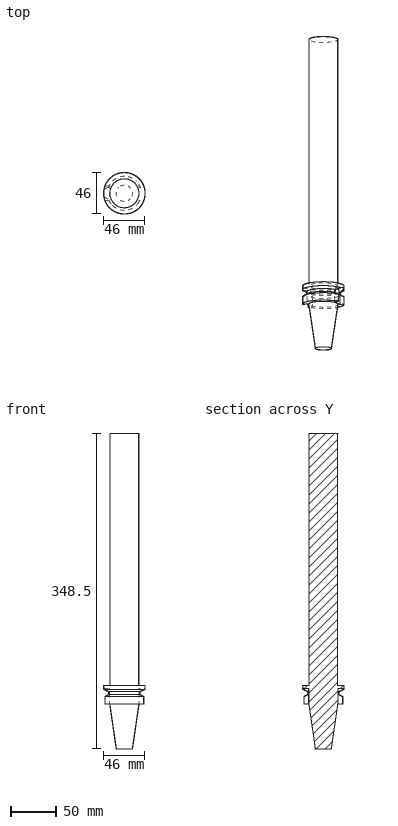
import cadquery as cq
import math

total_length = 348.5
bar_radius = 16.0
flange_radius = 23.0

taper_length = 48.5
gauge_radius = 16.0
taper_ratio = 7 / 24
tip_radius = gauge_radius - taper_length * taper_ratio / 2

flange_bottom = taper_length + 1.5
flange_top = 70.5
groove_centre = 62.0
groove_floor_width = 3.0
groove_radius = 18.8
groove_flank_angle = 30
groove_flank_height = (flange_radius - groove_radius) * math.tan(math.radians(groove_flank_angle))
groove_floor_bottom = groove_centre - groove_floor_width / 2
groove_floor_top = groove_centre + groove_floor_width / 2

slot_width = 16.0
slot_top = 67.0
slot_floor = 16.5
slot_radius = slot_width / 2
slot_arc_centre = slot_top - slot_radius


def make_body():
    """Revolve the half profile, given as (radius, height) points."""
    profile = [
        (0, 0),
        (tip_radius, 0),
        (gauge_radius, taper_length),
        (gauge_radius, flange_bottom),
        (flange_radius, flange_bottom),
        (flange_radius, groove_floor_bottom - groove_flank_height),
        (groove_radius, groove_floor_bottom),
        (groove_radius, groove_floor_top),
        (flange_radius, groove_floor_top + groove_flank_height),
        (flange_radius, flange_top),
        (bar_radius, flange_top),
        (bar_radius, total_length),
        (0, total_length),
    ]
    return cq.Workplane("XZ").polyline(profile).close().revolve(360, (0, 0), (0, 1))


def make_slot_cutter(side):
    """Round-topped slot, open at the bottom; side is -1 or +1 along X."""
    return (
        cq.Workplane("YZ", origin=(side * slot_floor, 0, 0))
        .moveTo(-slot_radius, flange_bottom)
        .lineTo(slot_radius, flange_bottom)
        .lineTo(slot_radius, slot_arc_centre)
        .threePointArc((0, slot_top), (-slot_radius, slot_arc_centre))
        .close()
        .extrude(side * flange_radius)
    )


result = make_body()
for side in (-1, 1):
    result = result.cut(make_slot_cutter(side))